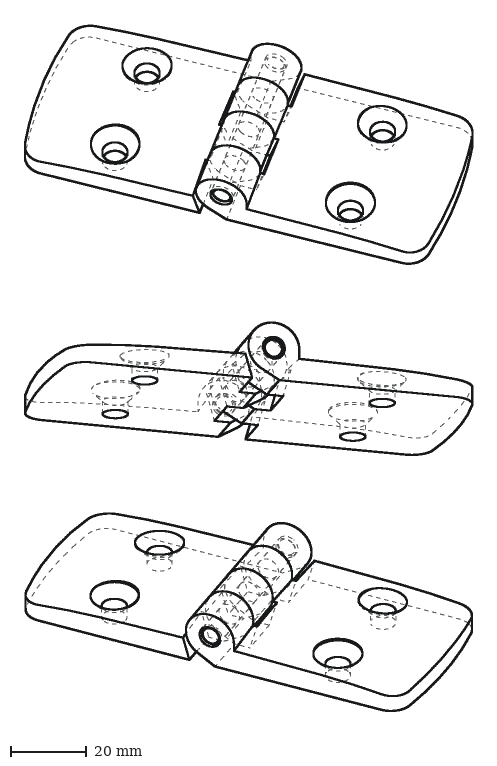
import cadquery as cq
import math

LEAF_REACH = 57.3
HINGE_WIDTH = 48.0
END_RADIUS = 120.3
CORNER_RADIUS = 6.0
CREST_HEIGHT = 7.8
CROWN_RADIUS = 229.2
INNER_ARCH_RADIUS = 1260.6
BEND_X = 32.7
OUTER_ARCH_RADIUS = 217.7
SLAB_OVERHANG = 1.1

SCREW_X = 32.5
SCREW_PITCH = 28.0
SCREW_HOLE_DIAMETER = 6.6
HEAD_DIAMETER = 13.0
HEAD_SEAT_HEIGHT = 6.8
HEAD_CONE_ANGLE = 90.0

BARREL_RADIUS = 7.0
AXIS_HEIGHT = 8.9
KNUCKLE_COUNT = 4
UNDERSIDE_ANGLE = 30.0
CLEARANCE_FOOT_X = 6.0
CLEARANCE_ANGLE = 16.0
BORE_DIAMETER = 6.0

PIN_DIAMETER = 5.8
PIN_CHAMFER = 0.6
PIN_RECESS = 0.6

HALF_WIDTH = HINGE_WIDTH / 2
KNUCKLE_WIDTH = HINGE_WIDTH / KNUCKLE_COUNT
LEAF_KNUCKLE_STARTS = [-HALF_WIDTH + i * KNUCKLE_WIDTH for i in range(0, KNUCKLE_COUNT, 2)]
FACING_KNUCKLE_STARTS = [start + KNUCKLE_WIDTH for start in LEAF_KNUCKLE_STARTS]


def prism(profile, start_y, width):
    """Extrude a closed XZ profile along +Y from start_y."""
    return profile.extrude(-width).translate((0, start_y, 0))


def crowned_slab():
    """Slab whose top is arched along X and crowned along Y, reaching below the base."""
    inner_centre_z = CREST_HEIGHT - INNER_ARCH_RADIUS
    bend_angle = math.asin(BEND_X / INNER_ARCH_RADIUS)
    outer_centre_x = BEND_X - OUTER_ARCH_RADIUS * math.sin(bend_angle)
    bend_z = inner_centre_z + INNER_ARCH_RADIUS * math.cos(bend_angle)
    outer_centre_z = bend_z - OUTER_ARCH_RADIUS * math.cos(bend_angle)

    def inner_point(x):
        return (x, inner_centre_z + math.sqrt(INNER_ARCH_RADIUS**2 - x**2))

    def outer_point(x):
        return (x, outer_centre_z + math.sqrt(OUTER_ARCH_RADIUS**2 - (x - outer_centre_x) ** 2))

    slab_end_x = LEAF_REACH + SLAB_OVERHANG
    slab_bottom_z = -CREST_HEIGHT
    crown_axis_z = CREST_HEIGHT - CROWN_RADIUS
    sweep_angle = 2 * math.degrees(math.asin(HINGE_WIDTH / CROWN_RADIUS))
    slab = (
        cq.Workplane("XZ")
        .moveTo(0, slab_bottom_z)
        .lineTo(*inner_point(0))
        .threePointArc(inner_point(BEND_X / 2), inner_point(BEND_X))
        .threePointArc(outer_point((BEND_X + slab_end_x) / 2), outer_point(slab_end_x))
        .lineTo(slab_end_x, slab_bottom_z)
        .close()
        .revolve(sweep_angle, (0, crown_axis_z, 0), (1, crown_axis_z, 0))
    )
    return slab.rotate((0, 0, crown_axis_z), (1, 0, crown_axis_z), -sweep_angle / 2)


def leaf_outline():
    """Prism of the plan outline: straight sides, curved end and rounded corners."""
    corner_x = LEAF_REACH - END_RADIUS + math.sqrt(END_RADIUS**2 - HALF_WIDTH**2)
    return (
        cq.Workplane("XY")
        .moveTo(CLEARANCE_FOOT_X, -HALF_WIDTH)
        .lineTo(corner_x, -HALF_WIDTH)
        .threePointArc((LEAF_REACH, 0), (corner_x, HALF_WIDTH))
        .lineTo(CLEARANCE_FOOT_X, HALF_WIDTH)
        .close()
        .extrude(CREST_HEIGHT)
        .edges("|Z").edges(">X")
        .fillet(CORNER_RADIUS)
    )


def clearance_cut(start_y):
    """Wedge that leans the plate edge away from a knuckle of the other leaf."""
    lean_x = CREST_HEIGHT * math.tan(math.radians(CLEARANCE_ANGLE))
    profile = (
        cq.Workplane("XZ")
        .moveTo(CLEARANCE_FOOT_X, 0)
        .lineTo(CLEARANCE_FOOT_X, CREST_HEIGHT)
        .lineTo(CLEARANCE_FOOT_X + lean_x, CREST_HEIGHT)
        .close()
    )
    return prism(profile, start_y, KNUCKLE_WIDTH)


def knuckle(start_y):
    """Barrel with a vertical outer flank and a sloping underside, both tangent to it."""
    slope = math.radians(UNDERSIDE_ANGLE)
    tangent_x = -BARREL_RADIUS * math.sin(slope)
    tangent_z = AXIS_HEIGHT - BARREL_RADIUS * math.cos(slope)
    foot_x = tangent_x + tangent_z / math.tan(slope)
    profile = (
        cq.Workplane("XZ")
        .moveTo(foot_x, 0)
        .lineTo(BARREL_RADIUS, 0)
        .lineTo(BARREL_RADIUS, AXIS_HEIGHT)
        .threePointArc((0, AXIS_HEIGHT + BARREL_RADIUS), (tangent_x, tangent_z))
        .close()
    )
    return prism(profile, start_y, KNUCKLE_WIDTH)


def screw_cutter(y):
    """Revolved cutter for one countersunk screw hole."""
    hole_radius = SCREW_HOLE_DIAMETER / 2
    head_radius = HEAD_DIAMETER / 2
    cone_depth = (head_radius - hole_radius) / math.tan(math.radians(HEAD_CONE_ANGLE / 2))
    return (
        cq.Workplane("XZ")
        .lineTo(hole_radius, 0)
        .lineTo(hole_radius, HEAD_SEAT_HEIGHT - cone_depth)
        .lineTo(head_radius, HEAD_SEAT_HEIGHT)
        .lineTo(head_radius, CREST_HEIGHT)
        .lineTo(0, CREST_HEIGHT)
        .close()
        .revolve(360, (0, 0, 0), (0, 1, 0))
        .translate((SCREW_X, y, 0))
    )


def rod(diameter, length):
    """Cylinder on the pin axis, centred across the width."""
    profile = cq.Workplane("XZ").center(0, AXIS_HEIGHT).circle(diameter / 2)
    return prism(profile, -length / 2, length)


def make_leaf():
    leaf = crowned_slab().intersect(leaf_outline())
    for start_y in FACING_KNUCKLE_STARTS:
        leaf = leaf.cut(clearance_cut(start_y))
    for start_y in LEAF_KNUCKLE_STARTS:
        leaf = leaf.union(knuckle(start_y))
    for y in (-SCREW_PITCH / 2, SCREW_PITCH / 2):
        leaf = leaf.cut(screw_cutter(y))
    return leaf.cut(rod(BORE_DIAMETER, HINGE_WIDTH))


def make_pin():
    pin_length = HINGE_WIDTH - 2 * PIN_RECESS
    return rod(PIN_DIAMETER, pin_length).faces("<Y or >Y").chamfer(PIN_CHAMFER)


leaf_shape = make_leaf()
leaves = [leaf_shape.rotate((0, 0, 0), (0, 0, 1), turn) for turn in (0, 180)]
pin = make_pin()

result = cq.Compound.makeCompound([*[leaf.solids().val() for leaf in leaves], pin.val()])